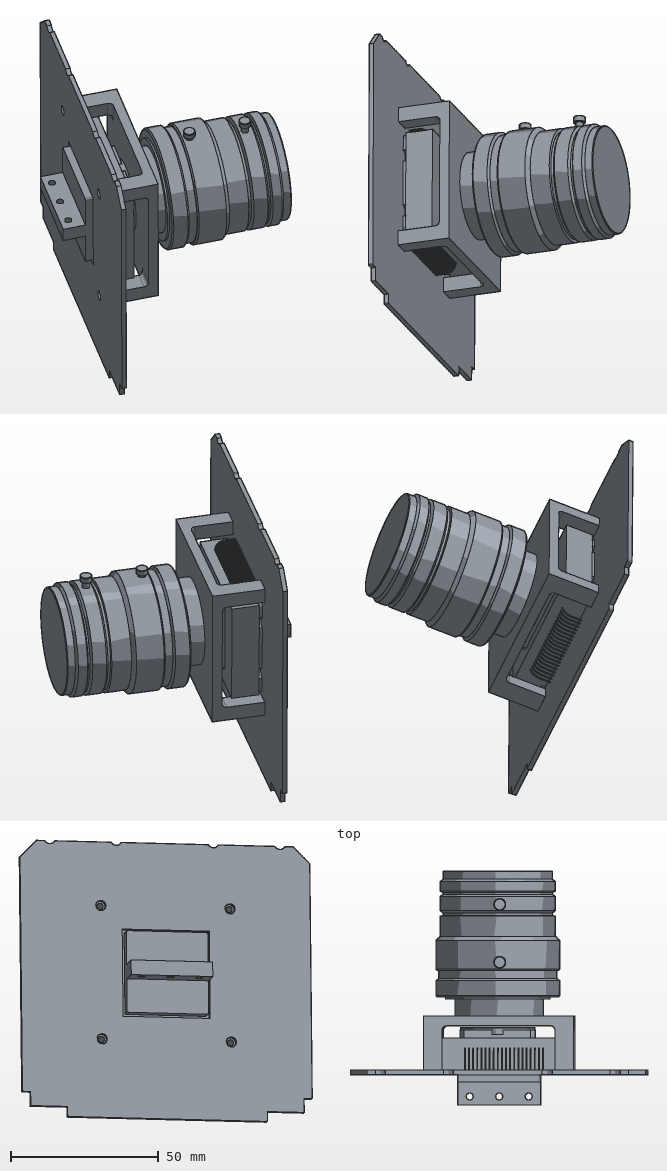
import cadquery as cq
import math

ROLL_ANGLE = -0.6

BOARD_HALF_WIDTH = 49.9
BOARD_TOP = 44.8
BOARD_BOTTOM = -49.9
BOARD_THICKNESS = 1.6
BOARD_CHAMFER = 5.7
SHOULDER_HALF_WIDTH = 47.1
SHOULDER_Z = -41.7
TAB_HALF_WIDTH = 34.4
TAB_SHOULDER_Z = -46.5
BOARD_CORNER_RADIUS = 0.39
NOTCH_DIAMETER = 4
NOTCH_DEPTH = 1.0
NOTCH_OFFSETS = (16.7, 39.6)
BOARD_WINDOW = 30.0
SCREW_CLEARANCE_DIAMETER = 3.4
SCREW_SPACING_X = 44.5
SCREW_SPACING_Z = 45.8

BRACKET_WIDTH = 50.7
BRACKET_HEIGHT = 50.1
BRACKET_DEPTH = 18.3
BRACKET_WALL = 3.4
BRACKET_OPENING_X = 38.2
BRACKET_OPENING_Z = 39.8
BRACKET_FILLET = 1.6
SCREW_HOLE_DIAMETER = 2.1
SCREW_HOLE_DEPTH = 8
DRILL_TIP_ANGLE = 118

ADAPTER_DIAMETER = 30.0
ADAPTER_END = 23.9

CAMERA_X = -0.5
CAMERA_Z = -0.6

FLANGE_DIAMETER = 35.4
REAR_RING_DIAMETER = 42.0
REAR_CHAMFER = 0.5
REAR_GROOVE_DIAMETER = 40.0
BARREL_DIAMETER = 39.0
FRONT_DIAMETER = 37.0
FRONT_CHAMFER = 0.3

FLANGE_FRONT = 24.7
REAR_RING_FRONT = 30.2
REAR_GROOVE_START = 30.9
REAR_GROOVE_FRONT = 33.6
FOCUS_RING_FRONT = 43.8
BARREL_START = 45.2
BARREL_FRONT = 52.0
FIRST_GROOVE_START = 52.2
FIRST_GROOVE_FRONT = 53.1
IRIS_RING_START = 53.8
IRIS_RING_FRONT = 58.7
SECOND_GROOVE_START = 59.4
SECOND_GROOVE_FRONT = 60.0
FRONT_RING_START = 60.5
FRONT_RING_FRONT = 63.7
RIM_START = 64.5
LENS_FRONT = 67.3

KNOB_X = 0.4
KNOB_TOP = 23.4
KNOB_STATIONS = (36.4, 55.9)
KNOB_HEAD_DIAMETER = 4
KNOB_HEAD_HEIGHT = 2.1
KNOB_HEAD_CHAMFER = 0.2
KNOB_STEM_DIAMETER = 2.5
KNOB_STEM_END = 17.1

CAMERA_WIDTH = 44.3
CAMERA_HEIGHT = 35.5
CAMERA_FRONT = 10.9
CAMERA_STEP = 1.3
CAMERA_STEP_INSET = 1.0
CAMERA_STEP_FILLET = 1.5
SCALLOP_DIAMETER = 4
SCALLOP_SPACING = 20.1

LEAD_COUNT = 20
LEAD_PITCH = 1.39
LEAD_THICKNESS = 0.3
LEAD_ROW_X = 1.8
LEAD_Y = 7.2
LEAD_BEND_RADIUS = 3.5

SENSOR_SIZE = 25.4
SENSOR_CHAMFER = 1.4
SENSOR_FRONT = 13.5
SENSOR_RIM_DIAMETER = 25.4
SENSOR_RIM_FRONT = 14.3
SENSOR_NOTCH_WIDTH = 3.7
SENSOR_NOTCH_DEPTH = 1.4

T_SIZE = 28.1
T_FLANGE_THICKNESS = 4.0
T_BAR_THICKNESS = 5.0
T_END = 11.9
T_CORNER_RADIUS = 0.5
T_HOLE_DIAMETER = 2.3
T_HOLE_COUNT = 3
T_HOLE_SPACING = 10.0
T_HOLE_TO_END = 2.9


def box_along_y(width, height, y_start, y_end, x=0, z=0):
    """Box centred on (x, z) that runs from y_start to y_end."""
    middle = (x, (y_start + y_end) / 2, z)
    return cq.Workplane("XY").box(width, y_end - y_start, height).translate(middle)


def cylinder_along_y(diameter, y_start, y_end, x=0, z=0):
    """Cylinder on the axis (x, z) that runs from y_start to y_end."""
    axis_start = cq.Vector(x, y_start, z)
    solid = cq.Solid.makeCylinder(diameter / 2, y_end - y_start, axis_start, cq.Vector(0, 1, 0))
    return cq.Workplane(obj=solid)


def screw_positions():
    return [
        (side * SCREW_SPACING_X / 2, level * SCREW_SPACING_Z / 2)
        for side in (-1, 1)
        for level in (-1, 1)
    ]


def make_board():
    right_side = [
        (TAB_HALF_WIDTH, BOARD_BOTTOM),
        (TAB_HALF_WIDTH, TAB_SHOULDER_Z),
        (SHOULDER_HALF_WIDTH, TAB_SHOULDER_Z),
        (SHOULDER_HALF_WIDTH, SHOULDER_Z),
        (BOARD_HALF_WIDTH, SHOULDER_Z),
        (BOARD_HALF_WIDTH, BOARD_TOP - BOARD_CHAMFER),
        (BOARD_HALF_WIDTH - BOARD_CHAMFER, BOARD_TOP),
    ]
    left_side = [(-x, z) for x, z in reversed(right_side)]
    board = cq.Workplane("XZ").polyline(right_side + left_side).close().extrude(BOARD_THICKNESS)

    rounded_corners = [(TAB_HALF_WIDTH, BOARD_BOTTOM), (BOARD_HALF_WIDTH, SHOULDER_Z)]
    for x, z in rounded_corners:
        for side in (-1, 1):
            corner = cq.selectors.NearestToPointSelector((side * x, -BOARD_THICKNESS / 2, z))
            board = board.edges("|Y").edges(corner).fillet(BOARD_CORNER_RADIUS)

    notch_z = BOARD_TOP - NOTCH_DEPTH + NOTCH_DIAMETER / 2
    for offset in NOTCH_OFFSETS:
        for side in (-1, 1):
            notch = cylinder_along_y(NOTCH_DIAMETER, -BOARD_THICKNESS, 0, side * offset, notch_z)
            board = board.cut(notch)

    board = board.cut(box_along_y(BOARD_WINDOW, BOARD_WINDOW, -BOARD_THICKNESS, 0))
    for x, z in screw_positions():
        board = board.cut(cylinder_along_y(SCREW_CLEARANCE_DIAMETER, -BOARD_THICKNESS, 0, x, z))
    return board


def make_screw_hole(x, z):
    """Blind hole with a conical drill tip, entering from the board side."""
    radius = SCREW_HOLE_DIAMETER / 2
    tip_length = radius / math.tan(math.radians(DRILL_TIP_ANGLE / 2))
    hole = cylinder_along_y(SCREW_HOLE_DIAMETER, 0, SCREW_HOLE_DEPTH, x, z)
    tip_start = cq.Vector(x, SCREW_HOLE_DEPTH, z)
    tip = cq.Solid.makeCone(radius, 0, tip_length, tip_start, cq.Vector(0, 1, 0))
    return hole.union(cq.Workplane(obj=tip))


def make_bracket():
    wall_inner = BRACKET_DEPTH - BRACKET_WALL
    bracket = box_along_y(BRACKET_WIDTH, BRACKET_HEIGHT, 0, BRACKET_DEPTH)
    passage_along_z = box_along_y(BRACKET_OPENING_X, BRACKET_HEIGHT, 0, wall_inner)
    passage_along_x = box_along_y(BRACKET_WIDTH, BRACKET_OPENING_Z, 0, wall_inner)
    bracket = bracket.cut(passage_along_z.faces(">Y").edges("|Z").fillet(BRACKET_FILLET))
    bracket = bracket.cut(passage_along_x.faces(">Y").edges("|X").fillet(BRACKET_FILLET))
    for x, z in screw_positions():
        bracket = bracket.cut(make_screw_hole(x, z))
    return bracket


def make_adapter():
    return cylinder_along_y(ADAPTER_DIAMETER, BRACKET_DEPTH, ADAPTER_END)


def make_lens():
    flange = FLANGE_DIAMETER / 2
    rear = REAR_RING_DIAMETER / 2
    rear_groove = REAR_GROOVE_DIAMETER / 2
    barrel = BARREL_DIAMETER / 2
    front = FRONT_DIAMETER / 2
    profile = [
        (0, ADAPTER_END),
        (flange, ADAPTER_END),
        (flange, FLANGE_FRONT),
        (rear - REAR_CHAMFER, FLANGE_FRONT),
        (rear, FLANGE_FRONT + REAR_CHAMFER),
        (rear, REAR_RING_FRONT),
        (rear_groove, REAR_GROOVE_START),
        (rear_groove, REAR_GROOVE_FRONT),
        (rear - REAR_CHAMFER, REAR_GROOVE_FRONT),
        (rear, REAR_GROOVE_FRONT + REAR_CHAMFER),
        (rear, FOCUS_RING_FRONT),
        (barrel, BARREL_START),
        (barrel, BARREL_FRONT),
        (front, FIRST_GROOVE_START),
        (front, FIRST_GROOVE_FRONT),
        (barrel, IRIS_RING_START),
        (barrel, IRIS_RING_FRONT),
        (front, SECOND_GROOVE_START),
        (front, SECOND_GROOVE_FRONT),
        (barrel, FRONT_RING_START),
        (barrel, FRONT_RING_FRONT),
        (front, RIM_START),
        (front, LENS_FRONT - FRONT_CHAMFER),
        (front - FRONT_CHAMFER, LENS_FRONT),
        (0, LENS_FRONT),
    ]
    lens = cq.Workplane("XY").polyline(profile).close().revolve(360, (0, 0, 0), (0, 1, 0))
    lens = lens.translate((CAMERA_X, 0, CAMERA_Z))
    for station in KNOB_STATIONS:
        lens = lens.cut(make_knob(station))
    return lens


def make_knob(station):
    """Headed knob standing up along Z; its stem sits in a blind hole in the lens."""
    head_bottom = KNOB_TOP - KNOB_HEAD_HEIGHT
    stem = cq.Workplane("XY", origin=(KNOB_X, station, KNOB_STEM_END))
    stem = stem.circle(KNOB_STEM_DIAMETER / 2).extrude(head_bottom - KNOB_STEM_END)
    head = cq.Workplane("XY", origin=(KNOB_X, station, head_bottom))
    head = head.circle(KNOB_HEAD_DIAMETER / 2).extrude(KNOB_HEAD_HEIGHT)
    head = head.edges().chamfer(KNOB_HEAD_CHAMFER)
    return stem.union(head)


def make_lead(x, side):
    """Square lead that leaves the camera vertically and bends back to the board."""
    camera_face = CAMERA_Z + side * CAMERA_HEIGHT / 2
    run_z = camera_face + side * LEAD_BEND_RADIUS
    bend_end_y = LEAD_Y - LEAD_BEND_RADIUS
    path = (
        cq.Workplane("YZ", origin=(x, 0, 0))
        .moveTo(LEAD_Y, camera_face)
        .radiusArc((bend_end_y, run_z), -side * LEAD_BEND_RADIUS)
        .lineTo(0, run_z)
    )
    section = cq.Workplane("XY", origin=(x, LEAD_Y, camera_face)).rect(LEAD_THICKNESS, LEAD_THICKNESS)
    return section.sweep(path)


def make_camera():
    main = box_along_y(CAMERA_WIDTH, CAMERA_HEIGHT, CAMERA_STEP, CAMERA_FRONT, CAMERA_X, CAMERA_Z)
    step_width = CAMERA_WIDTH - 2 * CAMERA_STEP_INSET
    step = box_along_y(step_width, CAMERA_HEIGHT, 0, CAMERA_STEP, CAMERA_X, CAMERA_Z)
    step = step.edges("|Y").fillet(CAMERA_STEP_FILLET)
    for side in (-1, 1):
        for level in (-1, 1):
            x = CAMERA_X + side * step_width / 2
            z = CAMERA_Z + level * SCALLOP_SPACING / 2
            step = step.cut(cylinder_along_y(SCALLOP_DIAMETER, 0, CAMERA_STEP, x, z))
    camera = main.union(step)

    first_lead_x = LEAD_ROW_X - LEAD_PITCH * (LEAD_COUNT - 1) / 2
    for side in (-1, 1):
        for index in range(LEAD_COUNT):
            camera = camera.union(make_lead(first_lead_x + index * LEAD_PITCH, side))
    return camera


def make_sensor():
    sensor = box_along_y(SENSOR_SIZE, SENSOR_SIZE, CAMERA_FRONT, SENSOR_FRONT, CAMERA_X, CAMERA_Z)
    sensor = sensor.edges("|Y").chamfer(SENSOR_CHAMFER)
    notch_start = SENSOR_FRONT - SENSOR_NOTCH_DEPTH
    for width, height in ((SENSOR_NOTCH_WIDTH, SENSOR_SIZE), (SENSOR_SIZE, SENSOR_NOTCH_WIDTH)):
        sensor = sensor.cut(
            box_along_y(width, height, notch_start, SENSOR_FRONT, CAMERA_X, CAMERA_Z)
        )
    rim = cylinder_along_y(SENSOR_RIM_DIAMETER, notch_start, SENSOR_RIM_FRONT, CAMERA_X, CAMERA_Z)
    return sensor.union(rim)


def make_t_bar():
    flange = box_along_y(T_SIZE, T_SIZE, -T_FLANGE_THICKNESS, 0).edges("|Y").fillet(T_CORNER_RADIUS)
    t_bar = flange.union(box_along_y(T_SIZE, T_BAR_THICKNESS, -T_END, -T_FLANGE_THICKNESS))
    holes = (
        cq.Workplane("XY", origin=(0, T_HOLE_TO_END - T_END, -T_BAR_THICKNESS / 2))
        .rarray(T_HOLE_SPACING, 1, T_HOLE_COUNT, 1)
        .circle(T_HOLE_DIAMETER / 2)
        .extrude(T_BAR_THICKNESS)
    )
    return t_bar.cut(holes)


board = make_board()
bracket = make_bracket()
adapter = make_adapter()
lens = make_lens()
knobs = [make_knob(station) for station in KNOB_STATIONS]
camera = make_camera()
sensor = make_sensor()
t_bar = make_t_bar()

upright_bodies = [board, bracket, adapter, lens, *knobs, camera, sensor, t_bar]
origin = cq.Vector(0, 0, 0)
y_axis = cq.Vector(0, 1, 0)
result = cq.Compound.makeCompound(
    [body.solids().val().rotate(origin, y_axis, ROLL_ANGLE) for body in upright_bodies]
)